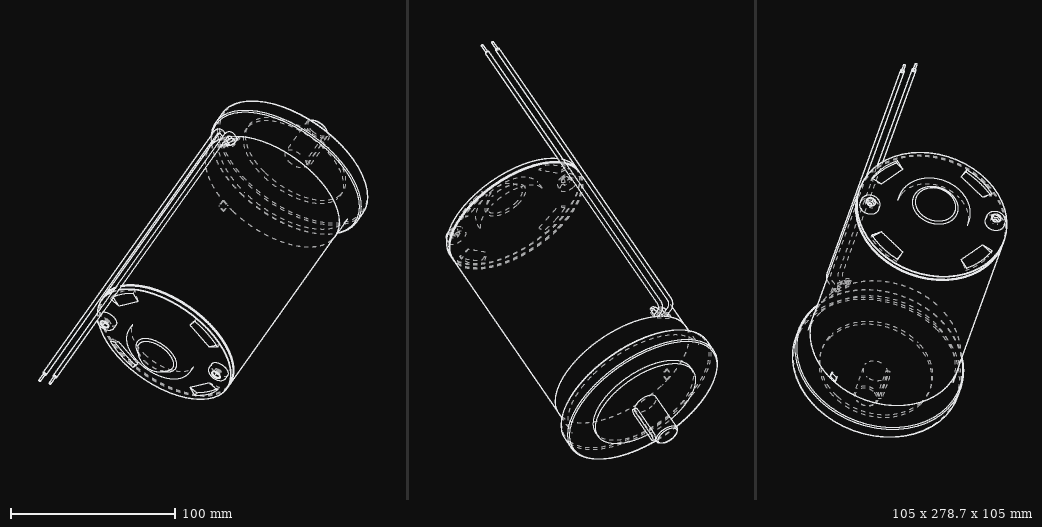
import cadquery as cq
import math


shaft_end_y = 29.8
overall_length = 278.7
wire_end_y = shaft_end_y - overall_length
pilot_height = 2.8
flange_thickness = 9.8
seam_y = -26.0
cap_groove_y = -155.8
rear_face_y = -159.7
hub_height = 9.5

shaft_radius = 7.5
shaft_chamfer = 0.8
pilot_radius = 35.0
flange_radius = 105.0 / 2
flange_chamfer = 0.8
neck_fillet = 0.8
neck_radius = 94.0 / 2
shell_radius = 46.8
cap_groove_width = 0.8
cap_groove_depth = 0.3
cap_chamfer = 0.3

hub_radius = 22.5
hub_edge_fillet = 4.2
hub_foot_fillet = 0.8
dome_sphere_radius = 14.0
dome_foot_radius = 14.2
dome_foot_height = 0.8
dome_base_radius = 12.5
dome_blend_start_radius = 6.0
dome_flat_radius = 3.0

key_width = 5.0
key_length = 25.0
key_start_y = 3.0
key_top_x = 9.2

screw_circle_radius = 39.0
screw_head_radius = 12.0 / 2
screw_head_height = 4.7
screw_head_fillet = 2.0
screw_socket_across_flats = 5.0
screw_socket_depth = 2.8
screw_socket_mouth_radius = 3.0
screw_socket_chamfer = 0.5
screw_drill_radius = 1.25
screw_drill_depth = 0.8

window_inner_distance = 35.0
window_outer_radius = 43.2
window_half_angle = 15.0
window_depth = 2.8
window_angles = (45, 135, 225, 315)

wire_angle = 127.2
outlet_angle = 128.5
wire_radius = 1.25
wire_spacing = 7.0
wire_reach = (55.7, 53.0)
wire_root_distance = 41.8
wire_offset_from_seam = 1.7
wire_bend_radius = 4.2
conductor_radius = 1.3 / 2
conductor_length = 6.0
pin_radius = 2.1
pin_top_distance = 47.7
pin_offset_from_seam = 4.5
outlet_slot_radius = 3.5
outlet_slot_depth = 1.7

notch_angle = 225.0
notch_width = 4.5
notch_length = 5.0
notch_depth = 0.8


def rod(radius, start, direction, length):
    return cq.Workplane(cq.Solid.makeCylinder(radius, length, cq.Vector(*start), cq.Vector(*direction)))


def place_at_angle(shape, angle):
    """Turn a shape built along +X about the motor axis, counting angles from +X toward +Z."""
    return shape.rotate((0, 0, 0), (0, 1, 0), -angle)


def turned_body():
    flange_back_y = -flange_thickness
    hub_face_y = rear_face_y - hub_height
    dome_base_y = hub_face_y - dome_foot_height
    sphere_centre_y = dome_base_y + math.sqrt(dome_sphere_radius**2 - dome_base_radius**2)
    base_angle = math.acos(dome_base_radius / dome_sphere_radius)
    blend_angle = math.acos(dome_blend_start_radius / dome_sphere_radius)
    blend_radius = (dome_blend_start_radius - dome_flat_radius) / math.cos(blend_angle)
    blend_mid_angle = (blend_angle + math.pi / 2) / 2

    def sphere_point(angle):
        return (dome_sphere_radius * math.cos(angle), sphere_centre_y - dome_sphere_radius * math.sin(angle))

    blend_centre_y = sphere_point(blend_angle)[1] + blend_radius * math.sin(blend_angle)
    blend_mid = (dome_flat_radius + blend_radius * math.cos(blend_mid_angle),
                 blend_centre_y - blend_radius * math.sin(blend_mid_angle))
    dome_end_y = blend_centre_y - blend_radius
    arc_share = 1 - math.sqrt(0.5)
    groove_radius = shell_radius - cap_groove_depth
    profile = (
        cq.Workplane("XY")
        .moveTo(0, shaft_end_y)
        .lineTo(shaft_radius - shaft_chamfer, shaft_end_y)
        .lineTo(shaft_radius, shaft_end_y - shaft_chamfer)
        .lineTo(shaft_radius, pilot_height)
        .lineTo(pilot_radius, pilot_height)
        .lineTo(pilot_radius, 0)
        .lineTo(flange_radius - flange_chamfer, 0)
        .lineTo(flange_radius, -flange_chamfer)
        .lineTo(flange_radius, flange_back_y + flange_chamfer)
        .lineTo(flange_radius - flange_chamfer, flange_back_y)
        .lineTo(neck_radius + neck_fillet, flange_back_y)
        .threePointArc(
            (neck_radius + neck_fillet * arc_share, flange_back_y - neck_fillet * arc_share),
            (neck_radius, flange_back_y - neck_fillet),
        )
        .lineTo(neck_radius, seam_y)
        .lineTo(shell_radius, seam_y)
        .lineTo(shell_radius, cap_groove_y)
        .lineTo(groove_radius, cap_groove_y)
        .lineTo(groove_radius, cap_groove_y - cap_groove_width)
        .lineTo(shell_radius, cap_groove_y - cap_groove_width)
        .lineTo(shell_radius, rear_face_y + cap_chamfer)
        .lineTo(shell_radius - cap_chamfer, rear_face_y)
        .lineTo(hub_radius + hub_foot_fillet, rear_face_y)
        .threePointArc(
            (hub_radius + hub_foot_fillet * arc_share, rear_face_y - hub_foot_fillet * arc_share),
            (hub_radius, rear_face_y - hub_foot_fillet),
        )
        .lineTo(hub_radius, hub_face_y + hub_edge_fillet)
        .threePointArc(
            (hub_radius - hub_edge_fillet * arc_share, hub_face_y + hub_edge_fillet * arc_share),
            (hub_radius - hub_edge_fillet, hub_face_y),
        )
        .lineTo(dome_foot_radius, hub_face_y)
        .lineTo(dome_base_radius, dome_base_y)
        .threePointArc(sphere_point((base_angle + blend_angle) / 2), sphere_point(blend_angle))
        .threePointArc(blend_mid, (dome_flat_radius, dome_end_y))
        .lineTo(0, dome_end_y)
        .close()
    )
    return profile.revolve(360, (0, 0, 0), (0, 1, 0))


def shaft_key():
    key_centre_y = key_start_y + key_length / 2
    return (
        cq.Workplane("YZ")
        .center(key_centre_y, 0)
        .slot2D(key_length, key_width)
        .extrude(key_top_x)
    )


def cap_screw(side):
    centre = (side * screw_circle_radius, 0)
    head_plane = cq.Workplane("XZ", origin=(0, rear_face_y, 0)).center(*centre)
    head = head_plane.circle(screw_head_radius).extrude(screw_head_height)
    head = head.faces("<Y").edges().fillet(screw_head_fillet)
    corner_diameter = screw_socket_across_flats / math.cos(math.pi / 6)
    head_top = head_plane.workplane(offset=screw_head_height)
    socket = head_top.polygon(6, corner_diameter).extrude(-screw_socket_depth)
    drill = head_top.circle(screw_drill_radius).extrude(-screw_socket_depth - screw_drill_depth)
    mouth = (
        head_top.circle(screw_socket_mouth_radius)
        .workplane(offset=-screw_socket_chamfer)
        .circle(screw_socket_mouth_radius - screw_socket_chamfer)
        .loft()
    )
    return head.cut(socket).cut(drill).cut(mouth)


def window_cutter(angle):
    """Ring sector whose floor is flush at the inner edge and deepens outward."""
    radial_span = window_outer_radius - window_inner_distance
    ramp = (
        cq.Workplane("XY")
        .moveTo(window_inner_distance, rear_face_y)
        .lineTo(window_outer_radius, rear_face_y)
        .lineTo(window_outer_radius, rear_face_y + window_depth)
        .close()
        .extrude(window_outer_radius, both=True)
    )
    half_angle = math.radians(window_half_angle)
    corner = (window_outer_radius * math.cos(half_angle), window_outer_radius * math.sin(half_angle))
    sector = (
        cq.Workplane("XZ", origin=(0, rear_face_y, 0))
        .lineTo(corner[0], -corner[1])
        .threePointArc((window_outer_radius, 0), corner)
        .close()
        .extrude(-radial_span)
    )
    return place_at_angle(ramp.intersect(sector), angle)


def supply_wire(offset, reach):
    """Insulated wire that leaves the shell radially, bends and runs along -Y, with a bare end."""
    leg_y = seam_y - wire_offset_from_seam
    bend_start_x = reach - wire_bend_radius
    run_start_y = leg_y - wire_bend_radius
    insulation_end_y = wire_end_y + conductor_length
    bend_mid = wire_bend_radius * math.sqrt(0.5)
    path = (
        cq.Workplane("XY", origin=(0, 0, offset))
        .moveTo(wire_root_distance, leg_y)
        .lineTo(bend_start_x, leg_y)
        .threePointArc((bend_start_x + bend_mid, run_start_y + bend_mid), (reach, run_start_y))
        .lineTo(reach, insulation_end_y)
    )
    insulation = (
        cq.Workplane("YZ", origin=(wire_root_distance, leg_y, offset))
        .circle(wire_radius)
        .sweep(path)
    )
    conductor = rod(conductor_radius, (reach, wire_end_y, offset), (0, 1, 0), 2 * conductor_length)
    return place_at_angle(insulation.union(conductor), wire_angle)


def outlet_pin(offset):
    pin_y = seam_y - pin_offset_from_seam
    height = pin_top_distance - wire_root_distance
    pin = rod(pin_radius, (wire_root_distance, pin_y, offset), (1, 0, 0), height)
    return place_at_angle(pin, outlet_angle)


def outlet_slot(offset):
    """U-shaped pocket, open at the seam, around one wire outlet."""
    end_y = seam_y - pin_offset_from_seam
    floor_distance = shell_radius - outlet_slot_depth
    cutter = (
        cq.Workplane("YZ", origin=(floor_distance, 0, offset))
        .moveTo(seam_y, outlet_slot_radius)
        .lineTo(end_y, outlet_slot_radius)
        .threePointArc((end_y - outlet_slot_radius, 0), (end_y, -outlet_slot_radius))
        .lineTo(seam_y, -outlet_slot_radius)
        .close()
        .extrude(2 * outlet_slot_depth)
    )
    return place_at_angle(cutter, outlet_angle)


def shell_notch():
    cutter = cq.Workplane("XY").box(2 * notch_depth, notch_length, notch_width)
    cutter = cutter.translate((shell_radius, seam_y - notch_length / 2, 0))
    return place_at_angle(cutter, notch_angle)


result = turned_body().union(shaft_key())
for angle in window_angles:
    result = result.cut(window_cutter(angle))
result = result.cut(shell_notch())
for side in (-1, 1):
    result = result.union(cap_screw(side))
for side, reach in zip((1, -1), wire_reach):
    offset = side * wire_spacing / 2
    result = result.cut(outlet_slot(offset))
    result = result.union(outlet_pin(offset)).union(supply_wire(offset, reach))